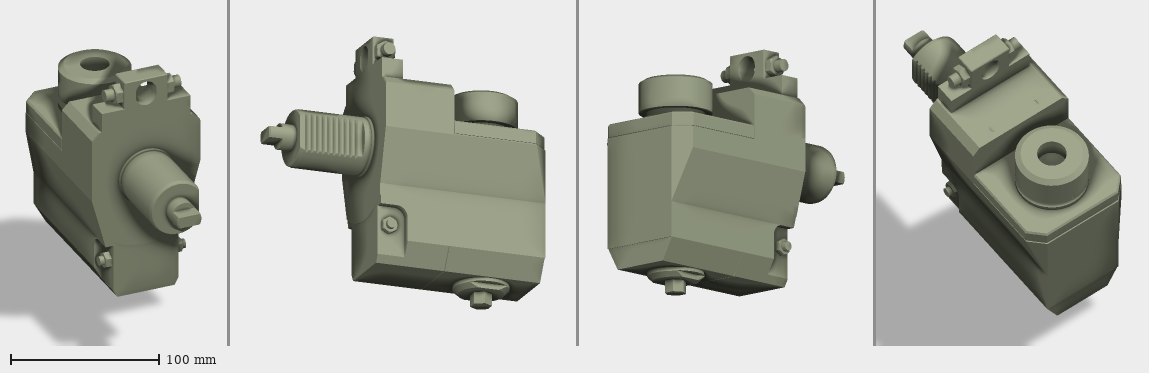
import cadquery as cq
import math


LEFT_X = -120.0
BACK_X = -0.4
STEP_X = -49.7
HALF_WIDTH = 40.05
WAIST_HALF_WIDTH = 29.8
BASE_HALF_WIDTH = 21.1
TOP_Z = 39.8
TOP_CHAMFER = 5.4
DECK_Z = 3.0
TAPER_HEIGHT = 37.3
FRONT_TAPER_Z = -11.7
REAR_TAPER_Z = 2.7
BASE_TAPER_Z = -73.4
BOTTOM_Z = -88.7
CORNER_CHAMFER = HALF_WIDTH - WAIST_HALF_WIDTH

SEAM = 0.5
COVER_TOP_Z = 13.0
COVER_CHAMFER = 1.2

SPINDLE_X = -84.9
NUT_RADIUS = 25.0
NUT_TOP_Z = 43.8
NUT_BOTTOM_Z = 21.3
NUT_FACE_RADIUS = 21.1
NUT_BEVEL_HEIGHT = 2.3
NECK_RADIUS = 20.0
COLLAR_TOP_Z = 16.1
BORE_RADIUS = 10.0
BORE_DEPTH = 13.0

PLUG_RADIUS = 19.4
PLUG_END_RADIUS = 15.7
PLUG_RIM_HEIGHT = 2.7
PLUG_HEIGHT = 6.0
PLUG_FLAT_HALF_WIDTH = 14.0
PLUG_FLAT_HEIGHT = 3.6
HEX_RADIUS = 7.5
HEX_HEIGHT = 8.3

RING_RADIUS = 52.2
SEAL_RADIUS = 20.7
SEAL_WIDTH = 2.3
SHANK_RADIUS = 20.0
SHANK_END_X = 52.6
LEAD_ANGLE = 15
LEAD_IN_LENGTH = 1.7
LEAD_OUT_LENGTH = 2.9
END_CHAMFER = 0.4
FLAT_START_X = 7.1
FLAT_Y = 15.5
TOOTH_PITCH = 4.0
TOOTH_DEPTH = 1.3
FIRST_TOOTH_X = 11.7
TOOTH_COUNT = 10
TANG_RADIUS = 9.0
TANG_FLAT_X = 62.2
TANG_END_X = 72.0
TANG_HALF_THICKNESS = 4.0
TANG_CHAMFER = 1.0

BRACKET_LENGTH = 15.4
BRACKET_HALF_WIDTH = 32.8
BRACKET_STEP_Z = 54.0
LUG_HALF_WIDTH = 16.1
LUG_TOP_Z = 74.1
LUG_CHAMFER = 0.5
LUG_SLOT_WIDTH = 15.2
LUG_SLOT_HEIGHT = 17.9
LUG_SCREW_X = -BRACKET_LENGTH / 2
LUG_SCREW_Z = 62.8
LUG_SCREW_RADIUS = 4.2
LUG_SCREW_END_Y = 27.7
LUG_NUT_WIDTH = 13.0
LUG_NUT_HEIGHT = 5.4

POCKET_LENGTH = 19.5
POCKET_Z = -83.3
POCKET_TOP_Z = -49.0
POCKET_RADIUS = 8.0
POCKET_HALF_WIDTH = 24.0
POCKET_SCREW_X = -7.9
POCKET_SCREW_Z = -62.8
POCKET_SCREW_RADIUS = 3.3
POCKET_SCREW_END_Y = 31.7
POCKET_NUT_WIDTH = 10.2
POCKET_NUT_HEIGHT = 4.5

NOZZLE_X = -42.5
NOZZLE_Y = 19.0
NOZZLE_RADIUS = 5.2
NOZZLE_TILT = 65
NOZZLE_PROUD = 0.67
NOZZLE_LENGTH = 7.7


def block(x0, x1, y0, y1, z0, z1):
    """Box between two opposite corners."""
    return cq.Workplane("XY").box(x1 - x0, y1 - y0, z1 - z0, centered=False).translate((x0, y0, z0))


def along_x(profile, x0, x1):
    """Extrude a closed (y, z) outline from x0 to x1."""
    return cq.Workplane("YZ").workplane(offset=x0).polyline(profile).close().extrude(x1 - x0)


def rod_x(radius, x0, x1):
    """Round bar on the shank axis."""
    return cq.Workplane("YZ").workplane(offset=x0).circle(radius).extrude(x1 - x0)


def disc_z(radius, z0, z1):
    """Round bar on the spindle axis."""
    return cq.Workplane("XY").workplane(offset=z0).center(SPINDLE_X, 0).circle(radius).extrude(z1 - z0)


def mirrored_pair(shape):
    """The shape together with its mirror image on the other side."""
    return shape.union(shape.mirror("XZ"))


def cross_section():
    """Outline of the housing seen along X, listed from the top around the -Y side."""
    return [
        (-HALF_WIDTH + TOP_CHAMFER, TOP_Z),
        (-HALF_WIDTH, TOP_Z - TOP_CHAMFER),
        (-HALF_WIDTH, FRONT_TAPER_Z),
        (-WAIST_HALF_WIDTH, FRONT_TAPER_Z - TAPER_HEIGHT),
        (-WAIST_HALF_WIDTH, BASE_TAPER_Z),
        (-BASE_HALF_WIDTH, BOTTOM_Z),
        (BASE_HALF_WIDTH, BOTTOM_Z),
        (WAIST_HALF_WIDTH, BASE_TAPER_Z),
        (WAIST_HALF_WIDTH, REAR_TAPER_Z - TAPER_HEIGHT),
        (HALF_WIDTH, REAR_TAPER_Z),
        (HALF_WIDTH, TOP_Z - TOP_CHAMFER),
        (HALF_WIDTH - TOP_CHAMFER, TOP_Z),
    ]


def plan_prism(left_x, right_x, z0, z1):
    """Full-width plate whose two left corners are cut at 45 degrees."""
    plate = block(left_x, right_x, -HALF_WIDTH, HALF_WIDTH, z0, z1)
    return plate.edges("|Z and <X").chamfer(CORNER_CHAMFER)


def housing():
    body = along_x(cross_section(), LEFT_X, BACK_X)
    ring = along_x(cross_section(), BACK_X, 0).intersect(rod_x(RING_RADIUS, BACK_X, 0))
    body = body.union(ring)
    tall_end = block(STEP_X, 0, -HALF_WIDTH, HALF_WIDTH, BOTTOM_Z, TOP_Z)
    low_end = plan_prism(LEFT_X, STEP_X, BASE_TAPER_Z, DECK_Z)
    base_plate = block(LEFT_X + SEAM, STEP_X, -HALF_WIDTH, HALF_WIDTH, BOTTOM_Z, BASE_TAPER_Z)
    body = body.intersect(tall_end.union(low_end).union(base_plate))
    return body.cut(base_seam())


def base_seam():
    """Shallow gap across the base where the plate under the spindle ends."""
    gap = block(STEP_X - SEAM, STEP_X, -HALF_WIDTH, HALF_WIDTH, BOTTOM_Z, BASE_TAPER_Z)
    core = along_x(
        [
            (-WAIST_HALF_WIDTH + SEAM, BASE_TAPER_Z),
            (-BASE_HALF_WIDTH + SEAM, BOTTOM_Z + SEAM),
            (BASE_HALF_WIDTH - SEAM, BOTTOM_Z + SEAM),
            (WAIST_HALF_WIDTH - SEAM, BASE_TAPER_Z),
        ],
        STEP_X - SEAM,
        STEP_X,
    )
    return gap.cut(core)


def cover():
    """Plate on the deck, standing off by a seam on a slightly smaller foot."""
    right_x = STEP_X - SEAM
    plate = plan_prism(LEFT_X + SEAM, right_x, DECK_Z + SEAM, COVER_TOP_Z)
    plate = plate.faces(">Z").edges("not >X").chamfer(COVER_CHAMFER)
    foot_half_width = HALF_WIDTH - SEAM
    foot = block(LEFT_X + 2 * SEAM, right_x, -foot_half_width, foot_half_width, DECK_Z, DECK_Z + SEAM)
    foot = foot.edges("|Z and <X").chamfer(CORNER_CHAMFER)
    return plate.union(foot)


def spindle():
    collar = disc_z(NUT_RADIUS, COVER_TOP_Z, COLLAR_TOP_Z)
    neck = disc_z(NECK_RADIUS, COLLAR_TOP_Z, NUT_BOTTOM_Z)
    nut = disc_z(NUT_RADIUS, NUT_BOTTOM_Z, NUT_TOP_Z)
    nut = nut.faces(">Z").chamfer(NUT_BEVEL_HEIGHT, NUT_RADIUS - NUT_FACE_RADIUS)
    bore = disc_z(BORE_RADIUS, NUT_TOP_Z - BORE_DEPTH, NUT_TOP_Z)
    return collar.union(neck).union(nut).cut(bore)


def plug():
    """Plug with two flats and a hexagon, hanging under the base."""
    end_z = BOTTOM_Z - PLUG_HEIGHT
    body = disc_z(PLUG_RADIUS, end_z, BOTTOM_Z)
    body = body.faces("<Z").chamfer(PLUG_HEIGHT - PLUG_RIM_HEIGHT, PLUG_RADIUS - PLUG_END_RADIUS)
    flat_cut = block(
        SPINDLE_X - PLUG_RADIUS, SPINDLE_X + PLUG_RADIUS,
        PLUG_FLAT_HALF_WIDTH, PLUG_RADIUS,
        end_z, end_z + PLUG_FLAT_HEIGHT,
    )
    body = body.cut(mirrored_pair(flat_cut))
    hexagon = cq.Workplane("XY").polygon(6, 2 * HEX_RADIUS).extrude(HEX_HEIGHT)
    hexagon = hexagon.rotate((0, 0, 0), (0, 0, 1), 90).translate((SPINDLE_X, 0, end_z - HEX_HEIGHT))
    return body.union(hexagon)


def shank():
    bar = rod_x(SHANK_RADIUS, SEAL_WIDTH, SHANK_END_X)
    lead_slope = math.tan(math.radians(LEAD_ANGLE))
    bar = bar.faces(">X").chamfer(LEAD_OUT_LENGTH, LEAD_OUT_LENGTH * lead_slope)
    bar = bar.faces(">X").chamfer(END_CHAMFER)
    bar = bar.faces("<X").chamfer(LEAD_IN_LENGTH, LEAD_IN_LENGTH * lead_slope)
    bar = bar.cut(block(FLAT_START_X, SHANK_END_X, FLAT_Y, SHANK_RADIUS, -SHANK_RADIUS, SHANK_RADIUS))
    for tooth in range(TOOTH_COUNT):
        valley_x = FIRST_TOOTH_X + tooth * TOOTH_PITCH
        valley = (
            cq.Workplane("XY")
            .workplane(offset=-SHANK_RADIUS)
            .moveTo(valley_x - TOOTH_DEPTH, FLAT_Y)
            .lineTo(valley_x, FLAT_Y - TOOTH_DEPTH)
            .lineTo(valley_x + TOOTH_DEPTH, FLAT_Y)
            .close()
            .extrude(2 * SHANK_RADIUS)
        )
        bar = bar.cut(valley)
    return seal_ring().union(bar).union(tang())


def seal_ring():
    """Ring with a half-round rim between the mounting face and the shank."""
    rim_radius = SEAL_WIDTH / 2
    shoulder = SEAL_RADIUS - rim_radius
    return (
        cq.Workplane("XY")
        .lineTo(0, shoulder)
        .threePointArc((rim_radius, SEAL_RADIUS), (SEAL_WIDTH, shoulder))
        .lineTo(SEAL_WIDTH, 0)
        .close()
        .revolve(360, (0, 0, 0), (1, 0, 0))
    )


def tang():
    """Drive tang: round bar with two flats at its end."""
    bar = rod_x(TANG_RADIUS, SHANK_END_X, TANG_END_X).faces(">X").chamfer(TANG_CHAMFER)
    above = block(TANG_FLAT_X, TANG_END_X, -TANG_RADIUS, TANG_RADIUS, TANG_HALF_THICKNESS, TANG_RADIUS)
    return bar.cut(above).cut(above.mirror("XY"))


def screw_with_nut(x, z, radius, seat_y, end_y, nut_width, nut_height):
    """Screw along +Y from seat_y to end_y, with a hexagon nut on the seat, corners up and down."""
    rod = cq.Workplane("XZ").center(x, z).circle(radius).extrude(seat_y - end_y)
    rod = rod.translate((0, seat_y, 0))
    corner_diameter = nut_width / math.cos(math.pi / 6)
    nut = cq.Workplane("XZ").polygon(6, corner_diameter).extrude(-nut_height)
    nut = nut.rotate((0, 0, 0), (0, 1, 0), 90)
    bevel = cq.Workplane("XZ").circle(corner_diameter / 2).extrude(-nut_height)
    bevel = bevel.faces(">Y").chamfer((corner_diameter - nut_width) / 2)
    nut = nut.intersect(bevel).translate((x, seat_y, z))
    return rod.union(nut)


def bracket():
    foot = block(-BRACKET_LENGTH, 0, -BRACKET_HALF_WIDTH, BRACKET_HALF_WIDTH, TOP_Z, BRACKET_STEP_Z)
    lug = block(-BRACKET_LENGTH, 0, -LUG_HALF_WIDTH, LUG_HALF_WIDTH, BRACKET_STEP_Z, LUG_TOP_Z)
    lug = lug.edges("|Z or >Z").chamfer(LUG_CHAMFER)
    slot = (
        cq.Workplane("YZ")
        .center(0, LUG_SCREW_Z)
        .slot2D(LUG_SLOT_HEIGHT, LUG_SLOT_WIDTH, 90)
        .extrude(-BRACKET_LENGTH)
    )
    screw = screw_with_nut(
        LUG_SCREW_X, LUG_SCREW_Z, LUG_SCREW_RADIUS, LUG_HALF_WIDTH, LUG_SCREW_END_Y,
        LUG_NUT_WIDTH, LUG_NUT_HEIGHT,
    )
    return foot.union(lug).cut(slot).union(mirrored_pair(screw))


def clamp_pocket():
    """Pocket open to the back with one rounded upper corner."""
    pocket = block(
        BACK_X - POCKET_LENGTH, 0, POCKET_HALF_WIDTH, WAIST_HALF_WIDTH, POCKET_Z, POCKET_TOP_Z
    )
    return pocket.edges("|Y and <X and >Z").fillet(POCKET_RADIUS)


def clamp_screw():
    return screw_with_nut(
        POCKET_SCREW_X, POCKET_SCREW_Z, POCKET_SCREW_RADIUS, POCKET_HALF_WIDTH, POCKET_SCREW_END_Y,
        POCKET_NUT_WIDTH, POCKET_NUT_HEIGHT,
    )


def nozzle():
    """Tilted round nozzle whose rim stands slightly proud of the top face."""
    tilt = math.radians(NOZZLE_TILT)
    centre_y = NOZZLE_Y - NOZZLE_RADIUS * math.cos(tilt)
    centre_z = TOP_Z + NOZZLE_PROUD - NOZZLE_RADIUS * math.sin(tilt)
    inner_face = cq.Plane(
        origin=(NOZZLE_X, centre_y, centre_z),
        xDir=(1, 0, 0),
        normal=(0, math.sin(tilt), -math.cos(tilt)),
    )
    return cq.Workplane(inner_face).circle(NOZZLE_RADIUS).extrude(NOZZLE_LENGTH)


result = (
    housing()
    .cut(mirrored_pair(clamp_pocket()))
    .union(mirrored_pair(clamp_screw()))
    .union(cover())
    .union(spindle())
    .union(plug())
    .union(shank())
    .union(bracket())
    .union(mirrored_pair(nozzle()))
)